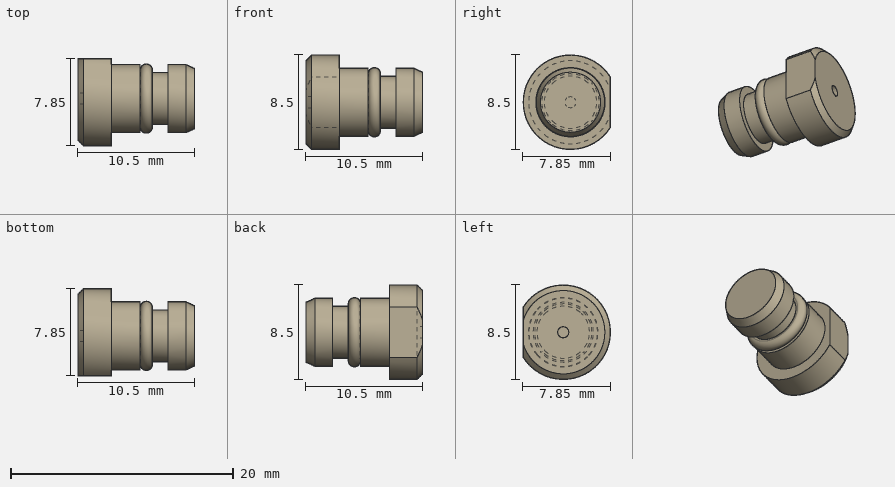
import cadquery as cq
import math

total_length = 10.5
head_diameter = 8.5
head_length = 3.0
head_chamfer = 0.5
flat_offset = 3.6
shank_diameter = 6.15
shank_end = 5.6
groove_diameter = 4.7
groove_end = 8.1
tip_taper_length = 0.8
tip_taper_angle = 25.0
ring_section = 1.1
ring_outer_diameter = 6.24
hole_diameter = 1.0
hole_depth = 0.5


def turned_body():
    """Head, shank, groove and tapered collar as one revolved profile."""
    head_radius = head_diameter / 2
    shank_radius = shank_diameter / 2
    groove_radius = groove_diameter / 2
    tip_radius = shank_radius - tip_taper_length * math.tan(math.radians(tip_taper_angle))
    profile = [
        (0, 0),
        (0, head_radius - head_chamfer),
        (head_chamfer, head_radius),
        (head_length, head_radius),
        (head_length, shank_radius),
        (shank_end, shank_radius),
        (shank_end, groove_radius),
        (groove_end, groove_radius),
        (groove_end, shank_radius),
        (total_length - tip_taper_length, shank_radius),
        (total_length, tip_radius),
        (total_length, 0),
    ]
    return cq.Workplane("XY").polyline(profile).close().revolve(360, (0, 0, 0), (1, 0, 0))


def sealing_ring():
    """O-ring seated in the groove, touching the shank shoulder."""
    section_radius = ring_section / 2
    centre_x = shank_end + section_radius
    centre_radius = ring_outer_diameter / 2 - section_radius
    section = cq.Workplane("XY").center(centre_x, centre_radius).circle(section_radius)
    return section.revolve(360, (0, -centre_radius, 0), (1, -centre_radius, 0))


def head_flat_cutter():
    """Block that removes the head beyond the flat."""
    return (
        cq.Workplane("XY")
        .box(head_length, head_diameter, head_diameter, centered=(False, False, True))
        .translate((0, flat_offset, 0))
    )


def face_hole():
    """Blind hole in the centre of the head face."""
    return cq.Workplane("YZ").circle(hole_diameter / 2).extrude(hole_depth)


result = turned_body().union(sealing_ring()).cut(head_flat_cutter()).cut(face_hole())